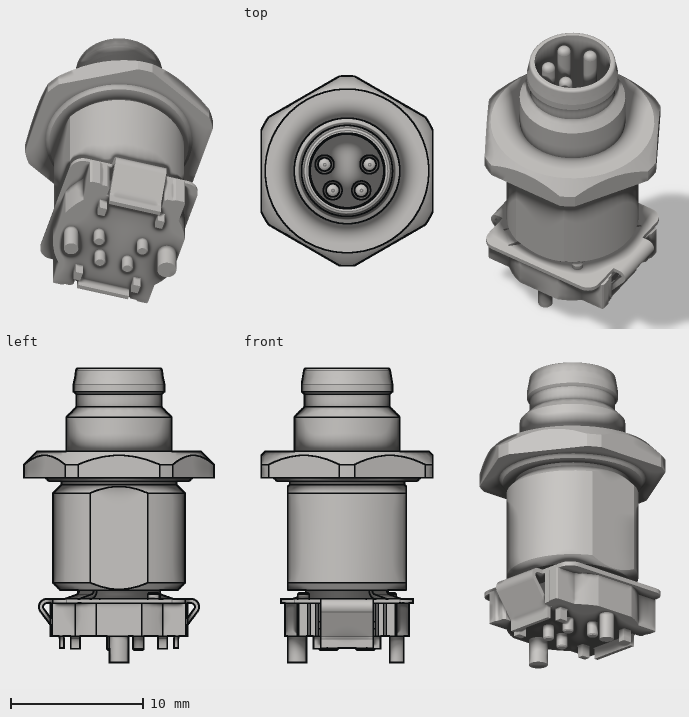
import cadquery as cq
import math


flat_width = 13.0
corner_radius = 7.2
flange_height = 2.0
flange_face_radius = 6.2
seal_radius = 5.57
seal_depth = 0.27
relief_radius = 4.36
relief_bottom_z = -0.52
barrel_radius = 5.0
barrel_flats_width = 9.0
barrel_bottom_radius = 4.45
barrel_chamfer = barrel_radius - barrel_bottom_radius
barrel_bottom_z = -8.5
shoulder_radius = 4.0
shoulder_top_z = 4.6
neck_radius = 3.24
neck_bottom_z = shoulder_top_z + (shoulder_radius - neck_radius)
latch_radius = 3.45
latch_bottom_z = 6.53
latch_top_z = 7.07
rim_z = 8.3
rim_fillet = 0.2
socket_radius = 2.87
socket_floor_z = 2.0
stem_radius = 3.13
stem_top_z = 1.5

sheet = 0.33
plate_top_z = -9.17
plate_bottom_z = plate_top_z - sheet
plate_width = 10.0
plate_corner_radius = 1.0
spring_width = 4.0
spring_radius = 0.6
spring_centre_y = 5.47
spring_leg_y = 4.49
spring_bend_z = -12.09
spring_bend_radius = 0.35
spring_bottom_z = -12.9
tab_width = 1.56
tab_hinge = 5.04
tab_upright = 3.48
tab_bend_radius = 0.35
tab_slot_width = 0.16
tab_slot_overrun = 0.1
tab_directions = (135, -45)

block_bottom_z = -12.0
block_radius = 5.0
block_side_width = 9.4
block_width = 7.5
block_length = 10.4
block_corner = (0.08, 0.15)
lip_outer_width = 5.96
lip_width = 5.56
lip_inner_width = 4.72
lip_y = 5.08
pocket_width = 4.34
pocket_edge_y = 4.9
pocket_floor_y = spring_leg_y - sheet
pocket_bevel = 0.5
pocket_bevel_bottom_z = -11.42
nose_chamfer = 0.08
rivet_positions = ((-3.3, -2.6), (3.3, 2.6))
rivet_radius = 0.43
rivet_top_z = -8.72
rivet_chamfer = 0.1
post_x = 3.77
locating_post_radius = 0.72
ground_post_radius = 0.54
post_bottom_z = -14.0
foot_inner_x = 2.0
foot_outer_x = 2.54
foot_flare = 0.04
foot_flare_height = 0.15
foot_centre_y = 3.31
foot_width = 0.72
foot_bottom_z = -12.95
pin_positions = ((-1.7, 0.49), (1.7, 0.49), (-1.08, -1.47), (1.08, -1.47))
pin_radius = 0.5
pin_tip_fillet = 0.4
pin_tip_z = 8.1
pin_countersink_radius = 0.71
pin_tail_radius = 0.42
pin_tail_chamfer = 0.1
pin_bottom_z = -13.05


def cylinder(radius, bottom_z, top_z, x=0.0, y=0.0):
    return cq.Workplane("XY").workplane(offset=bottom_z).center(x, y).circle(radius).extrude(top_z - bottom_z)


def box_between(x_size, y_size, bottom_z, top_z):
    return cq.Workplane("XY").workplane(offset=bottom_z).rect(x_size, y_size).extrude(top_z - bottom_z)


def turned(points):
    """Revolve a closed (radius, z) outline about the Z axis."""
    return cq.Workplane("XZ").polyline(points).close().revolve(360, (0, 0, 0), (0, 1, 0))


def make_flange():
    hexagon = (
        cq.Workplane("XY")
        .polygon(6, flat_width / math.cos(math.pi / 6))
        .extrude(flange_height)
        .rotate((0, 0, 0), (0, 0, 1), 30)
    )
    bevel = corner_radius - flange_face_radius
    envelope = turned([
        (0, 0),
        (corner_radius, 0),
        (corner_radius, flange_height - bevel),
        (flange_face_radius, flange_height),
        (0, flange_height),
    ])
    return hexagon.intersect(envelope)


def make_barrel():
    barrel = turned([
        (0, relief_bottom_z),
        (relief_radius, relief_bottom_z),
        (barrel_radius, relief_bottom_z - (barrel_radius - relief_radius)),
        (barrel_radius, barrel_bottom_z + barrel_chamfer),
        (barrel_bottom_radius, barrel_bottom_z),
        (0, barrel_bottom_z),
    ])
    flats = box_between(barrel_flats_width, 2 * barrel_radius, barrel_bottom_z, relief_bottom_z)
    return barrel.intersect(flats)


def make_housing():
    seal = turned([
        (0, 0),
        (seal_radius, 0),
        (seal_radius - seal_depth, -seal_depth),
        (0, -seal_depth),
    ])
    relief = cylinder(relief_radius, relief_bottom_z, 0)
    plug = turned([
        (0, 0),
        (shoulder_radius, 0),
        (shoulder_radius, shoulder_top_z),
        (neck_radius, neck_bottom_z),
        (neck_radius, latch_bottom_z - (latch_radius - neck_radius)),
        (latch_radius, latch_bottom_z),
        (latch_radius, latch_top_z),
        (neck_radius, rim_z),
        (0, rim_z),
    ]).faces(">Z").edges().fillet(rim_fillet)
    body = make_flange().union(seal).union(relief).union(make_barrel()).union(plug)
    stem_bore = cylinder(stem_radius, barrel_bottom_z, stem_top_z)
    socket = cylinder(socket_radius, stem_top_z, rim_z)
    return body.cut(stem_bore).cut(socket)


def make_spring():
    """Rolled spring on the +Y edge, with a leg that returns inward and turns down."""
    reach_y = spring_centre_y - spring_leg_y
    centre_z = plate_top_z - spring_radius
    reach_z = centre_z - spring_bend_z
    slope = math.atan2(reach_z, reach_y) - math.asin(spring_radius / math.hypot(reach_y, reach_z))
    inner_radius = spring_radius - sheet
    bend_rise = sheet * math.cos(slope) / (1 + math.sin(slope))

    def on_roll(radius, angle):
        return (spring_centre_y + radius * math.cos(angle), centre_z + radius * math.sin(angle))

    leave = slope - math.pi / 2
    middle = (leave + math.pi / 2) / 2
    spring = (
        cq.Workplane("YZ")
        .workplane(offset=-spring_width / 2)
        .moveTo(plate_width / 2 - sheet, plate_top_z)
        .lineTo(spring_centre_y, plate_top_z)
        .threePointArc(on_roll(spring_radius, middle), on_roll(spring_radius, leave))
        .lineTo(spring_leg_y, spring_bend_z)
        .lineTo(spring_leg_y, spring_bottom_z)
        .lineTo(spring_leg_y - sheet, spring_bottom_z)
        .lineTo(spring_leg_y - sheet, spring_bend_z + bend_rise)
        .lineTo(*on_roll(inner_radius, leave))
        .threePointArc(on_roll(inner_radius, middle), (spring_centre_y, plate_bottom_z))
        .lineTo(plate_width / 2 - sheet, plate_bottom_z)
        .close()
        .extrude(spring_width)
    )
    bend_outside = cq.selectors.NearestToPointSelector((0, spring_leg_y, spring_bend_z))
    bend_inside = cq.selectors.NearestToPointSelector((0, spring_leg_y - sheet, spring_bend_z + bend_rise))
    spring = spring.edges(bend_outside).fillet(spring_bend_radius)
    return spring.edges(bend_inside).fillet(spring_bend_radius + sheet)


def make_tab_window():
    """Plate opening around a contact tab on +X, with relief slots beside its hinge."""
    half_tab = tab_width / 2
    half_window = half_tab + tab_slot_width
    slot_end = tab_hinge + tab_slot_overrun
    return (
        cq.Workplane("XY")
        .workplane(offset=plate_bottom_z)
        .moveTo(0, -half_window)
        .lineTo(slot_end, -half_window)
        .lineTo(slot_end, -half_tab)
        .lineTo(tab_hinge, -half_tab)
        .lineTo(tab_hinge, half_tab)
        .lineTo(slot_end, half_tab)
        .lineTo(slot_end, half_window)
        .lineTo(0, half_window)
        .close()
        .extrude(sheet)
    )


def make_tab():
    """Contact tab on +X: it slopes up from the plate and curls upright against the housing."""
    centre_x = tab_upright + tab_bend_radius
    centre_z = barrel_bottom_z
    reach_x = tab_hinge - centre_x
    reach_z = centre_z - plate_top_z
    slope = math.atan2(reach_z, reach_x) - math.asin(tab_bend_radius / math.hypot(reach_x, reach_z))
    outer_radius = tab_bend_radius + sheet
    hinge_setback = sheet * math.tan(slope / 2)

    def on_bend(radius, angle):
        return (centre_x - radius * math.cos(angle), centre_z - radius * math.sin(angle))

    leave = math.pi / 2 - slope
    middle = leave / 2
    return (
        cq.Workplane("XZ")
        .workplane(offset=-tab_width / 2)
        .moveTo(tab_hinge, plate_top_z)
        .lineTo(*on_bend(tab_bend_radius, leave))
        .threePointArc(on_bend(tab_bend_radius, middle), on_bend(tab_bend_radius, 0))
        .lineTo(*on_bend(outer_radius, 0))
        .threePointArc(on_bend(outer_radius, middle), on_bend(outer_radius, leave))
        .lineTo(tab_hinge - hinge_setback, plate_bottom_z)
        .lineTo(tab_hinge, plate_bottom_z)
        .close()
        .extrude(tab_width)
    )


def make_clip():
    clip = box_between(plate_width, plate_width, plate_bottom_z, plate_top_z)
    clip = clip.edges("|Z").fillet(plate_corner_radius)
    clip = clip.cut(cylinder(stem_radius, plate_bottom_z, plate_top_z))
    for x, y in rivet_positions:
        clip = clip.cut(cylinder(rivet_radius, plate_bottom_z, plate_top_z, x, y))
    for angle in tab_directions:
        clip = clip.cut(make_tab_window().rotate((0, 0, 0), (0, 0, 1), angle))
        clip = clip.union(make_tab().rotate((0, 0, 0), (0, 0, 1), angle))
    for angle in (0, 180):
        clip = clip.union(make_spring().rotate((0, 0, 0), (0, 0, 1), angle))
    return clip


def make_spring_pocket():
    """Stepped recess in the +Y end of the block, bevelled back behind the roll of a spring."""
    half = [
        (lip_outer_width / 2, block_length / 2),
        (lip_width / 2, lip_y),
        (lip_inner_width / 2, lip_y),
        (pocket_width / 2, pocket_edge_y),
        (pocket_width / 2, pocket_floor_y),
    ]
    mirrored = [(-x, y) for x, y in reversed(half)]
    recess = (
        cq.Workplane("XY")
        .workplane(offset=block_bottom_z)
        .polyline(half + mirrored)
        .close()
        .extrude(plate_bottom_z - block_bottom_z)
    )
    clearance = (
        cq.Workplane("YZ")
        .workplane(offset=-pocket_width / 2)
        .polyline([
            (pocket_floor_y, pocket_bevel_bottom_z),
            (pocket_floor_y - pocket_bevel, pocket_bevel_bottom_z + pocket_bevel),
            (pocket_floor_y - pocket_bevel, plate_bottom_z),
            (pocket_floor_y, plate_bottom_z),
        ])
        .close()
        .extrude(pocket_width)
    )
    return recess.union(clearance)


def make_block():
    rounded_sides = cylinder(block_radius, block_bottom_z, plate_bottom_z).intersect(
        box_between(block_side_width, block_length, block_bottom_z, plate_bottom_z)
    )
    trunk = box_between(block_width, block_length, block_bottom_z, plate_bottom_z)
    trunk = trunk.edges("|Z").chamfer(*block_corner)
    block = trunk.union(rounded_sides)
    for angle in (0, 180):
        block = block.cut(make_spring_pocket().rotate((0, 0, 0), (0, 0, 1), angle))
    return block


def make_foot(side, y):
    return (
        cq.Workplane("XZ")
        .workplane(offset=-y - foot_width / 2)
        .polyline([
            (side * foot_inner_x, block_bottom_z),
            (side * (foot_outer_x + foot_flare), block_bottom_z),
            (side * foot_outer_x, block_bottom_z - foot_flare_height),
            (side * foot_outer_x, foot_bottom_z),
            (side * foot_inner_x, foot_bottom_z),
        ])
        .close()
        .extrude(foot_width)
    )


def make_insert():
    stem = cylinder(stem_radius, plate_bottom_z, stem_top_z)
    nose = cylinder(socket_radius, stem_top_z, socket_floor_z)
    nose = nose.faces(">Z").chamfer(nose_chamfer)
    insert = make_block().union(stem).union(nose)
    for x, y in rivet_positions:
        rivet = cylinder(rivet_radius, plate_bottom_z, rivet_top_z, x, y)
        insert = insert.union(rivet.faces(">Z").chamfer(rivet_chamfer))
    insert = insert.union(cylinder(locating_post_radius, post_bottom_z, block_bottom_z, -post_x))
    insert = insert.union(cylinder(ground_post_radius, post_bottom_z, block_bottom_z, post_x))
    for side in (-1, 1):
        for y in (-foot_centre_y, foot_centre_y):
            insert = insert.union(make_foot(side, y))
    for x, y in pin_positions:
        countersink = turned([
            (0, socket_floor_z),
            (pin_countersink_radius, socket_floor_z),
            (0, socket_floor_z - pin_countersink_radius),
        ]).translate((x, y, 0))
        pin = cylinder(pin_radius, block_bottom_z, pin_tip_z, x, y)
        pin = pin.faces(">Z").edges().fillet(pin_tip_fillet)
        tail = cylinder(pin_tail_radius, pin_bottom_z, block_bottom_z, x, y)
        tail = tail.faces("<Z").chamfer(pin_tail_chamfer)
        insert = insert.cut(countersink).union(pin).union(tail)
    return insert


housing = make_housing()
insert = make_insert()
clip = make_clip()

result = cq.Compound.makeCompound([housing.solids().val(), insert.solids().val(), clip.solids().val()])